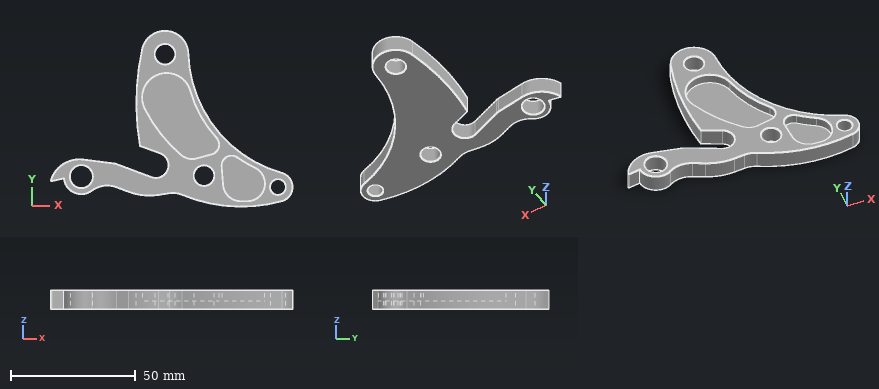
import cadquery as cq
import math

THICKNESS = 8.0
EDGE_CHAMFER = 0.3
POCKET_DEPTH = 4.5

TOP_HOLE, TOP_BORE = (45.9, 61.1), 8.0
MIDDLE_HOLE, MIDDLE_BORE = (61.6, 12.4), 8.0
RIGHT_HOLE, RIGHT_BORE = (91.3, 7.8), 6.0
HANGER_HOLE, HANGER_BORE = (12.4, 12.0), 9.0

TOP_BOSS = 9.5
RIGHT_BOSS = 6.0
HANGER_BOSS = 7.2
WHEEL_ARC = 51.3
FLANK_ARC = 101.2
FLANK_CORNER = 0.5
SLOT_END = 5.0
KNEE = 4.9
HOOK_BACK = 12.2
HOOK_TIP = 0.5
ARM_HOLLOW = 10.1
ARM_BELLY = 23.6
ARM_DIP = 9.3
BOTTOM_ARC = 61.6

HOOK_TIP_ANGLE = 162
HOOK_NOTCH_ANGLE = 187
ARM_HOLLOW_ANGLE = -53

BIG_POCKET_TOP = 9.7
BIG_POCKET_LEFT = 60.0
BIG_POCKET_RIGHT = 46.7
BIG_POCKET_HEEL = 6.7
POCKET_TOE = 3.9
SMALL_POCKET_ROUND = 6.9
SMALL_POCKET_WALL = 2.4

TOUCH_LIMIT = 0.01


def polar(centre, distance, angle):
    """Point at a distance and an angle in degrees from a centre."""
    turn = math.radians(angle)
    return (centre[0] + distance * math.cos(turn), centre[1] + distance * math.sin(turn))


def meet(first, first_distance, second, second_distance):
    """Point at the given distances from two points, to the left when going from first to second."""
    dx, dy = second[0] - first[0], second[1] - first[1]
    gap = math.hypot(dx, dy)
    along = (gap**2 + first_distance**2 - second_distance**2) / (2 * gap)
    aside = math.sqrt(first_distance**2 - along**2)
    return (
        first[0] + (along * dx - aside * dy) / gap,
        first[1] + (along * dy + aside * dx) / gap,
    )


def tangent_points(start, end):
    """Ends of the straight stretch between two rounds; they coincide where the rounds touch."""
    (x1, y1), r1 = start
    (x2, y2), r2 = end
    dx, dy = x2 - x1, y2 - y1
    gap = math.hypot(dx, dy)
    across = (r1 - r2) / gap
    ahead = math.sqrt(max(0.0, 1 - across**2))
    nx = (across * dx + ahead * dy) / gap
    ny = (across * dy - ahead * dx) / gap
    leave = (x1 + r1 * nx, y1 + r1 * ny)
    arrive = (x2 + r2 * nx, y2 + r2 * ny)
    if math.dist(leave, arrive) < TOUCH_LIMIT:
        arrive = leave
    return leave, arrive


def smooth_outline(rounds):
    """Closed counter-clockwise outline through (centre, radius) rounds.

    A positive radius bulges outward, a negative one is hollow, and zero is a sharp corner.
    """
    following = rounds[1:] + rounds[:1]
    stretches = [tangent_points(a, b) for a, b in zip(rounds, following)]
    arrival = stretches[-1][1]
    path = cq.Workplane("XY").moveTo(*arrival)
    for (centre, radius), (leave, next_arrival) in zip(rounds, stretches):
        if radius != 0:
            path = path.threePointArc(arc_middle(centre, radius, arrival, leave), leave)
        if next_arrival != leave:
            path = path.lineTo(*next_arrival)
        arrival = next_arrival
    return path.close()


def arc_middle(centre, radius, start, end):
    """Middle of the arc from start to end, counter-clockwise for a positive radius."""
    start_angle = math.atan2(start[1] - centre[1], start[0] - centre[0])
    end_angle = math.atan2(end[1] - centre[1], end[0] - centre[0])
    direction = math.copysign(1, radius)
    sweep = (direction * (end_angle - start_angle)) % (2 * math.pi)
    return polar(centre, abs(radius), math.degrees(start_angle + direction * sweep / 2))


flank_corner = (36.2, 24.5)
slot_end = (42.2, 16.5)
knee = (24.9, 12.6)
hook_back = (11.6, 6.9)
hook_tip = polar(hook_back, HOOK_BACK - HOOK_TIP, HOOK_TIP_ANGLE)
hook_notch = polar(HANGER_HOLE, HANGER_BOSS, HOOK_NOTCH_ANGLE)
arm_hollow = polar(HANGER_HOLE, HANGER_BOSS + ARM_HOLLOW, ARM_HOLLOW_ANGLE)
arm_belly = (39.7, 27.7)
arm_dip = (49.2, -4.1)
wheel_centre = meet(TOP_HOLE, TOP_BOSS + WHEEL_ARC, RIGHT_HOLE, RIGHT_BOSS + WHEEL_ARC)
flank_centre = meet(TOP_HOLE, FLANK_ARC - TOP_BOSS, flank_corner, FLANK_ARC - FLANK_CORNER)
bottom_centre = meet(arm_dip, BOTTOM_ARC + ARM_DIP, RIGHT_HOLE, BOTTOM_ARC - RIGHT_BOSS)

plate_rounds = [
    (RIGHT_HOLE, RIGHT_BOSS),
    (wheel_centre, -WHEEL_ARC),
    (TOP_HOLE, TOP_BOSS),
    (flank_centre, FLANK_ARC),
    (flank_corner, FLANK_CORNER),
    (slot_end, -SLOT_END),
    (knee, KNEE),
    (hook_back, HOOK_BACK),
    (hook_tip, HOOK_TIP),
    (hook_notch, 0),
    (HANGER_HOLE, HANGER_BOSS),
    (arm_hollow, -ARM_HOLLOW),
    (arm_belly, ARM_BELLY),
    (arm_dip, -ARM_DIP),
    (bottom_centre, BOTTOM_ARC),
]

big_top = (46.6, 43.7)
big_heel = (56.8, 25.9)
big_toe = (63.7, 24.8)
big_left_centre = meet(
    big_top, BIG_POCKET_LEFT - BIG_POCKET_TOP, big_heel, BIG_POCKET_LEFT - BIG_POCKET_HEEL
)
big_right_centre = meet(
    big_top, BIG_POCKET_RIGHT + BIG_POCKET_TOP, big_toe, BIG_POCKET_RIGHT + POCKET_TOE
)
big_pocket_rounds = [
    (big_toe, POCKET_TOE),
    (big_right_centre, -BIG_POCKET_RIGHT),
    (big_top, BIG_POCKET_TOP),
    (big_left_centre, BIG_POCKET_LEFT),
    (big_heel, BIG_POCKET_HEEL),
]

small_toe = (72.7, 16.4)
small_left = (76.3, 9.15)
small_right = (79.0, 9.15)
small_arc = WHEEL_ARC + SMALL_POCKET_WALL
small_arc_centre = meet(
    small_toe, small_arc + POCKET_TOE, small_right, small_arc + SMALL_POCKET_ROUND
)
small_pocket_rounds = [
    (small_right, SMALL_POCKET_ROUND),
    (small_arc_centre, -small_arc),
    (small_toe, POCKET_TOE),
    (small_left, SMALL_POCKET_ROUND),
]

plate = smooth_outline(plate_rounds).extrude(THICKNESS)
bores = [
    (TOP_HOLE, TOP_BORE),
    (MIDDLE_HOLE, MIDDLE_BORE),
    (RIGHT_HOLE, RIGHT_BORE),
    (HANGER_HOLE, HANGER_BORE),
]
for centre, diameter in bores:
    plate = plate.cut(cq.Workplane("XY").center(*centre).circle(diameter / 2).extrude(THICKNESS))

for rounds in (big_pocket_rounds, small_pocket_rounds):
    pocket = smooth_outline(rounds).extrude(POCKET_DEPTH)
    plate = plate.cut(pocket.translate((0, 0, THICKNESS - POCKET_DEPTH)))

result = plate.faces(">Z or <Z").edges().chamfer(EDGE_CHAMFER)